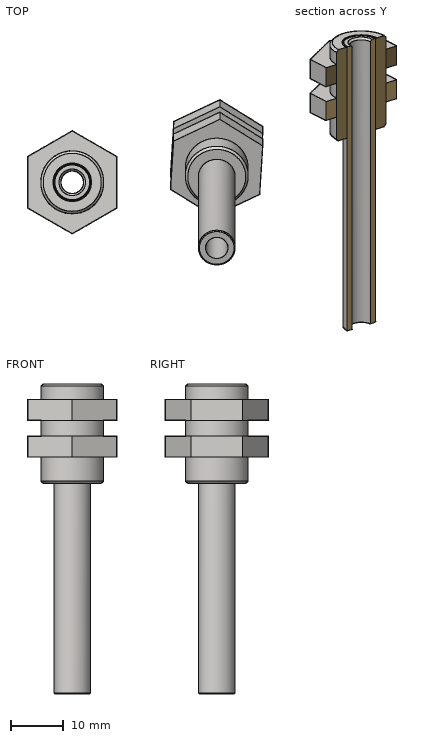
import cadquery as cq
import math

tube_length = 59.0
tube_diameter = 7.0
tube_end_chamfer = 0.2
bore_diameter = 4.25
bore_chamfer = 0.4

sleeve_length = 19.0
sleeve_diameter = 12.0
sleeve_rim_chamfer = 0.5
sleeve_bore_chamfer = 0.15

nut_width = 17.0
nut_thickness = 4.0
nut_count = 2
top_nut_setback = 2.95
nut_gap = 3.0

nut_corner_diameter = nut_width / math.cos(math.radians(30))
nut_pitch = nut_thickness + nut_gap
top_nut_base = tube_length - top_nut_setback - nut_thickness


def make_tube():
    """Straight tube with chamfered ends and a through bore chamfered at the top."""
    tube = cq.Workplane("XY").circle(tube_diameter / 2).extrude(tube_length)
    tube = tube.faces("<Z or >Z").edges().chamfer(tube_end_chamfer)
    tube = tube.faces(">Z").workplane().hole(bore_diameter)
    bore_rim = cq.selectors.RadiusNthSelector(0)
    return tube.faces(">Z").edges(bore_rim).chamfer(bore_chamfer)


def make_sleeve():
    """Cylindrical sleeve fitting the tube, with its outer rims and upper bore rim chamfered."""
    sleeve = cq.Workplane("XY", origin=(0, 0, tube_length - sleeve_length))
    sleeve = sleeve.circle(sleeve_diameter / 2).extrude(sleeve_length)
    sleeve = sleeve.faces("<Z or >Z").edges().chamfer(sleeve_rim_chamfer)
    sleeve = sleeve.faces(">Z").workplane().hole(tube_diameter)
    bore_rim = cq.selectors.RadiusNthSelector(0)
    return sleeve.faces(">Z").edges(bore_rim).chamfer(sleeve_bore_chamfer)


def make_nut(base_height):
    """Plain hexagon nut with two corners on the Y axis and a bore fitting the sleeve."""
    nut = cq.Workplane("XY", origin=(0, 0, base_height))
    nut = nut.transformed(rotate=(0, 0, 90)).polygon(6, nut_corner_diameter)
    return nut.extrude(nut_thickness).faces(">Z").workplane().hole(sleeve_diameter)


tube = make_tube()
sleeve = make_sleeve()
nuts = [make_nut(top_nut_base - index * nut_pitch) for index in range(nut_count)]

result = cq.Compound.makeCompound([tube.val(), sleeve.val(), *[nut.val() for nut in nuts]])